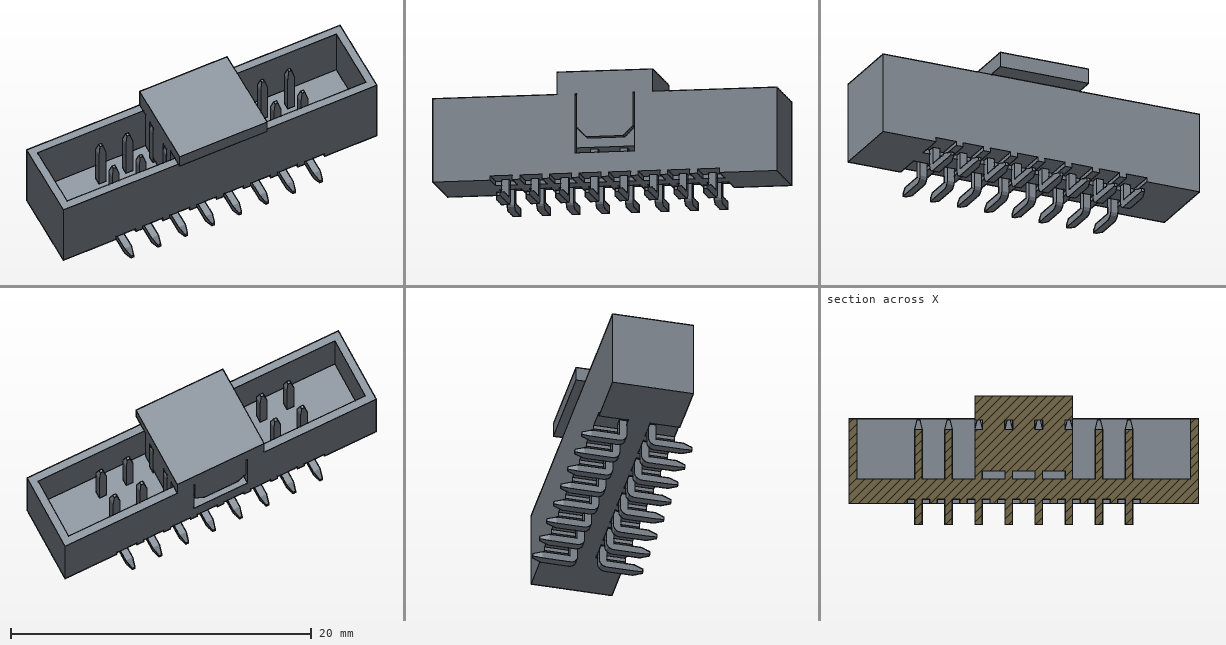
import cadquery as cq


housing_length = 23.25
housing_width = 5.53
housing_height = 5.65
wall = 0.546
floor_top = 1.65

pins_per_row = 8
pitch = 2.0
pin_size = 0.5
pin_top = 5.55
taper_length = 0.63
tip_size = 0.2
lead_span = 7.5
lead_drop = 1.4

relief_width = 1.49
relief_height = 0.29

window_width = 4.0

cap_length = 6.49
cap_top = housing_height + 1.5
cap_plate = 1.05
cap_overhang = 0.49
plug_width = 3.72
plug_bottom = 2.16
clip_width = 3.81
clip_bottom = 2.72
clip_chamfer = 0.65

outer_x = housing_width / 2
pin_x = pitch / 2
pin_rows = [(side, (i - (pins_per_row - 1) / 2) * pitch) for side in (-1, 1) for i in range(pins_per_row)]


def block(x_range, y_range, z_range):
    """Box between the given limits on each axis."""
    size = [high - low for low, high in (x_range, y_range, z_range)]
    corner = (x_range[0], y_range[0], z_range[0])
    return cq.Workplane("XY").box(*size, centered=False).translate(corner)


def centred(width):
    """Limits of a width centred on zero."""
    return (-width / 2, width / 2)


def tapered_tip(base_plane):
    """Square pyramid frustum that ends a pin, standing on the given plane."""
    return (
        cq.Workplane(base_plane)
        .rect(pin_size, pin_size)
        .workplane(offset=taper_length)
        .rect(tip_size, tip_size)
        .loft(combine=True)
    )


def make_housing():
    """Open-topped shroud with a clip window and relief pockets for the pins."""
    housing = block(centred(housing_width), centred(housing_length), (0, housing_height))
    housing = housing.cut(block(
        centred(housing_width - 2 * wall),
        centred(housing_length - 2 * wall),
        (floor_top, housing_height),
    ))
    housing = housing.cut(block(
        (-outer_x, -outer_x + wall),
        centred(window_width),
        (floor_top, housing_height),
    ))
    relief_depth = outer_x - pin_x + pin_size / 2
    for side, y in pin_rows:
        relief = cq.Workplane("XY").box(relief_depth, relief_width, relief_height)
        housing = housing.cut(relief.translate((side * (outer_x - relief_depth / 2), y, relief_height / 2)))
    return housing


def make_pin():
    """Right-angle pin of the +X row, with its lead pointing toward +X."""
    inner = pin_x - pin_size / 2
    outer = pin_x + pin_size / 2
    lead_bottom = -lead_drop
    lead_top = lead_bottom + pin_size
    lead_end = lead_span / 2 - taper_length
    shoulder = pin_top - taper_length
    bent_bar = (
        cq.Workplane("XZ")
        .moveTo(inner, shoulder)
        .lineTo(inner, lead_top)
        .radiusArc((outer, lead_bottom), -pin_size)
        .lineTo(lead_end, lead_bottom)
        .lineTo(lead_end, lead_top)
        .lineTo(outer, lead_top)
        .lineTo(outer, shoulder)
        .close()
        .extrude(pin_size / 2, both=True)
    )
    lead_centre = (lead_bottom + lead_top) / 2
    upper_tip = tapered_tip(cq.Plane(origin=(pin_x, 0, shoulder), normal=(0, 0, 1)))
    lead_tip = tapered_tip(cq.Plane(origin=(lead_end, 0, lead_centre), xDir=(0, 1, 0), normal=(1, 0, 0)))
    return bent_bar.union(upper_tip).union(lead_tip)


def make_cap():
    """Plate over the shroud, a plug between the walls and a chamfered clip in the window."""
    y_range = centred(cap_length)
    plate = block((-outer_x, outer_x + cap_overhang), y_range, (cap_top - cap_plate, cap_top))
    seat = block((-outer_x, plug_width / 2), y_range, (housing_height, cap_top))
    plug = block(centred(plug_width), y_range, (plug_bottom, cap_top))
    clip = (
        block((-outer_x, -outer_x + wall), centred(clip_width), (clip_bottom, cap_top))
        .edges("|X and <Z")
        .chamfer(clip_chamfer)
    )
    cap = plate.union(seat).union(plug).union(clip)
    for side, y in pin_rows:
        socket = block(centred(pin_size), centred(pin_size), (0, pin_top))
        cap = cap.cut(socket.translate((side * pin_x, y, 0)))
    return cap


result = make_housing().union(make_cap())
right_pin = make_pin()
left_pin = right_pin.mirror("YZ")
for side, y in pin_rows:
    pin = right_pin if side > 0 else left_pin
    result = result.union(pin.translate((0, y, 0)))